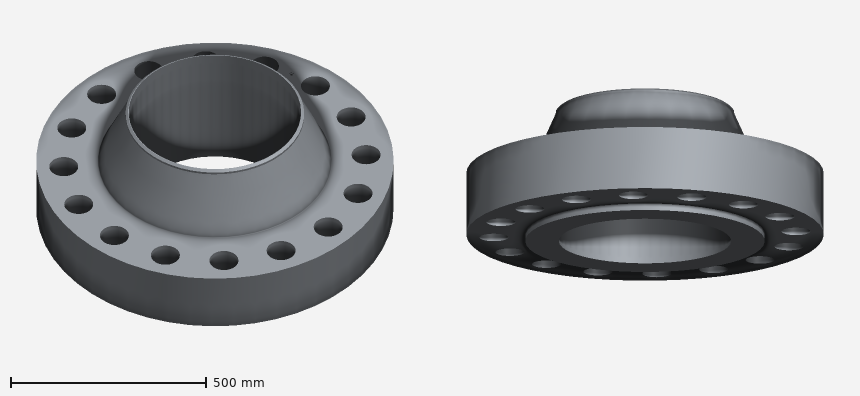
import cadquery as cq
import math

flange_diameter = 914.4
flange_thickness = 162.0

raised_face_diameter = 612.6
raised_face_height = 17.48

overall_height = 344.63
hub_base_diameter = 597.0
hub_fillet_radius = 3.0
neck_diameter = 457.0
bore_diameter = 441.0
neck_straight_length = 6.0

bevel_land = 1.6
bevel_angle = 37.5

bolt_circle_diameter = 774.7
bolt_hole_diameter = 74.0
bolt_hole_count = 16
bolt_spacing_angle = 360.0 / bolt_hole_count

small_hole_diameter = 6.5
small_hole_depth = 20.0
counterbore_diameter = 13.0
counterbore_depth = 1.5
small_hole_angle = 90.0 + bolt_spacing_angle / 2

flange_top = raised_face_height + flange_thickness
bore_radius = bore_diameter / 2
neck_radius = neck_diameter / 2
land_radius = bore_radius + bevel_land
bevel_height = (neck_radius - land_radius) * math.tan(math.radians(bevel_angle))
bevel_bottom = overall_height - bevel_height
cone_top = bevel_bottom - neck_straight_length


def make_body():
    """Revolve the half section of the disc, hub, neck and bore."""
    section = (
        cq.Workplane("XZ")
        .moveTo(bore_radius, 0)
        .lineTo(raised_face_diameter / 2, 0)
        .lineTo(raised_face_diameter / 2, raised_face_height)
        .lineTo(flange_diameter / 2, raised_face_height)
        .lineTo(flange_diameter / 2, flange_top)
        .lineTo(hub_base_diameter / 2, flange_top)
        .lineTo(neck_radius, cone_top)
        .lineTo(neck_radius, bevel_bottom)
        .lineTo(land_radius, overall_height)
        .lineTo(bore_radius, overall_height)
        .close()
    )
    body = section.revolve(360, (0, 0, 0), (0, 1, 0))
    third_largest = -3
    hub_base_edge = cq.selectors.RadiusNthSelector(third_largest)
    return body.edges(hub_base_edge).fillet(hub_fillet_radius)


def make_bolt_holes():
    """Full-depth cutters for the ring of bolt holes."""
    return (
        cq.Workplane("XY")
        .polarArray(bolt_circle_diameter / 2, 0, 360, bolt_hole_count)
        .circle(bolt_hole_diameter / 2)
        .extrude(flange_top)
    )


def make_small_hole():
    """Revolved cutter for the small counterbored hole in the top of the disc."""
    half_section = (
        cq.Workplane("XZ")
        .lineTo(counterbore_diameter / 2, 0)
        .lineTo(counterbore_diameter / 2, -counterbore_depth)
        .lineTo(small_hole_diameter / 2, -counterbore_depth)
        .lineTo(small_hole_diameter / 2, -small_hole_depth)
        .lineTo(0, -small_hole_depth)
        .close()
    )
    cutter = half_section.revolve(360, (0, 0, 0), (0, 1, 0))
    placed = cutter.translate((bolt_circle_diameter / 2, 0, flange_top))
    return placed.rotate((0, 0, 0), (0, 0, 1), small_hole_angle)


result = make_body().cut(make_bolt_holes()).cut(make_small_hole())